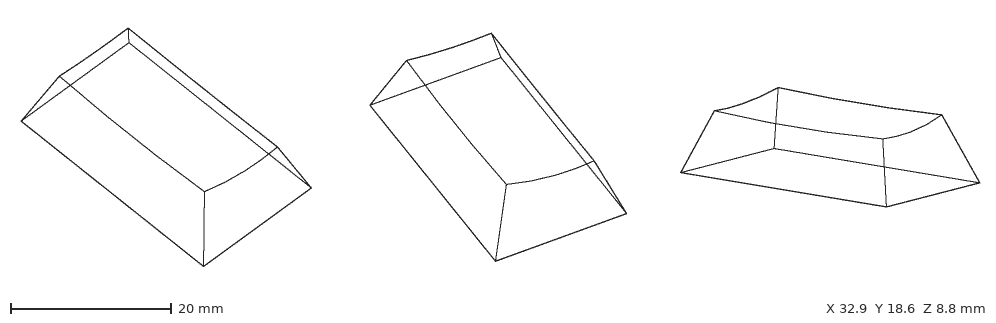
import cadquery as cq
import math

length = 32.93
width = 18.6
wall_angle = 21.0

front_height = 8.8
back_height = 7.77
side_sag = 0.5
long_sag = 0.33

wall_slope = math.tan(math.radians(wall_angle))
front_edge_y = -width / 2 + front_height * wall_slope
back_edge_y = width / 2 - back_height * wall_slope
half_dish_length = length / 2 - front_height * wall_slope
dish_radius = (half_dish_length**2 + long_sag**2) / (2 * long_sag)


def make_tapered_block():
    """Rectangular frustum, as tall as the highest corners of the cap."""
    return cq.Workplane("XY").rect(length, width).extrude(front_height, taper=wall_angle)


def make_dish_cutter():
    """Barrel about an axis parallel to Y, far above the cap, with a bulging rim."""
    front_z = front_height - long_sag
    back_z = back_height - long_sag
    axis_z = front_z + dish_radius

    run = back_edge_y - front_edge_y
    rise = back_z - front_z
    chord = math.hypot(run, rise)
    middle_y = (front_edge_y + back_edge_y) / 2 + side_sag * rise / chord
    middle_z = (front_z + back_z) / 2 - side_sag * run / chord

    arc_radius = (chord**2 / 4 + side_sag**2) / (2 * side_sag)
    center_y = middle_y - arc_radius * rise / chord
    center_z = middle_z + arc_radius * run / chord

    def arc_point(y):
        return y, center_z - math.sqrt(arc_radius**2 - (y - center_y) ** 2)

    return (
        cq.Workplane("YZ")
        .moveTo(-width / 2, axis_z)
        .lineTo(*arc_point(-width / 2))
        .threePointArc((middle_y, middle_z), arc_point(width / 2))
        .lineTo(width / 2, axis_z)
        .close()
        .revolve(360, (0, axis_z, 0), (1, axis_z, 0))
    )


key_cap = make_tapered_block().cut(make_dish_cutter())

result = cq.Compound.makeCompound([key_cap.val()])